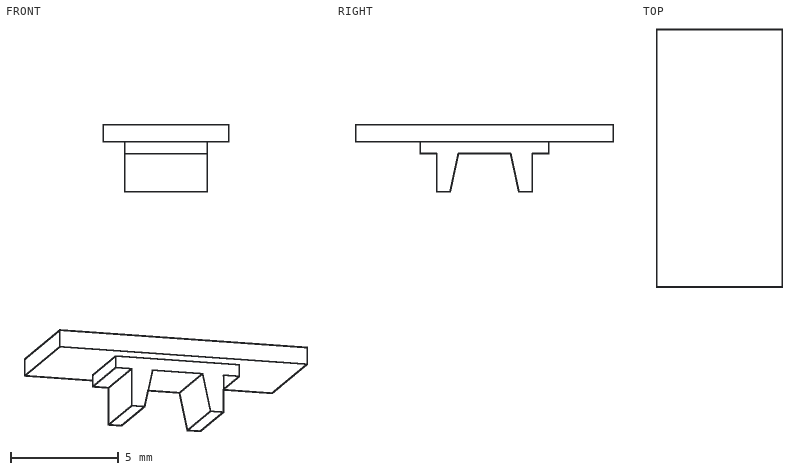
import cadquery as cq

plate_width = 5.85
plate_length = 12.0
plate_thickness = 0.8
total_height = 3.13

pad_length = 6.0
pad_thickness = 0.55
base_width = 3.86
legs_outer_span = 4.45
leg_gap_top = 2.42
leg_gap_bottom = 3.19

plate_bottom = total_height - plate_thickness
pad_bottom = plate_bottom - pad_thickness


def centred_block(width, length, bottom, height):
    """Block centred on the Z axis, rising from the given height."""
    return (
        cq.Workplane("XY", origin=(0, 0, bottom))
        .rect(width, length)
        .extrude(height)
    )


def tapered_leg(side):
    """Leg with an upright outer face and a sloping inner face; side is -1 or 1 along Y."""
    outer = side * legs_outer_span / 2
    inner_top = side * leg_gap_top / 2
    inner_bottom = side * leg_gap_bottom / 2
    return (
        cq.Workplane("YZ")
        .moveTo(outer, pad_bottom)
        .lineTo(outer, 0)
        .lineTo(inner_bottom, 0)
        .lineTo(inner_top, pad_bottom)
        .close()
        .extrude(base_width / 2, both=True)
    )


plate = centred_block(plate_width, plate_length, plate_bottom, plate_thickness)
pad = centred_block(base_width, pad_length, pad_bottom, pad_thickness)

result = plate.union(pad)
for side in (-1, 1):
    result = result.union(tapered_leg(side))